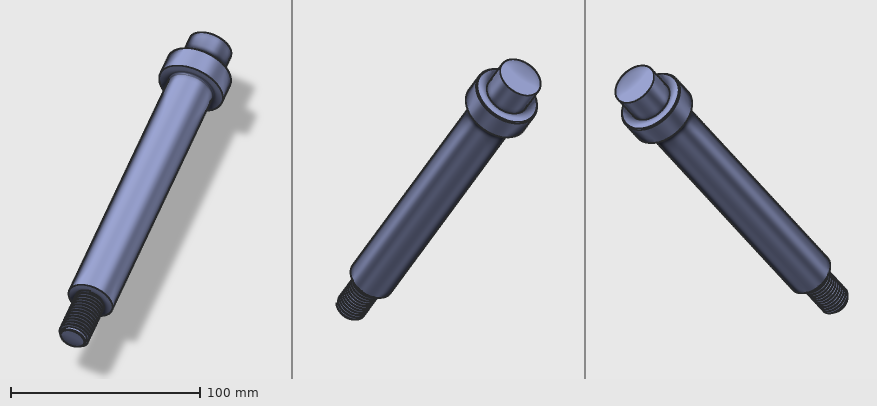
import cadquery as cq
import math

overall_length = 206.0
stub_length = 16.0
collar_length = 13.0
stud_length = 27.0
shaft_length = overall_length - stub_length - collar_length - stud_length

stub_diameter = 23.9
collar_diameter = 36.0
shaft_diameter = 25.0
stud_core_diameter = 14.0
collar_fillet = 1.0
collar_chamfer = 0.6
stud_chamfer = 0.5

thread_diameter = 16.5
thread_pitch = 2.0
thread_turns = 12.75
thread_flank_angle = 30.0
crest_width = thread_pitch / 8
root_embed = 0.2

stub_end = overall_length / 2
collar_back = stub_end - stub_length
collar_front = collar_back - collar_length
shoulder = collar_front - shaft_length
stud_end = -overall_length / 2


def cylinder_along_y(diameter, start, end):
    """Solid cylinder on the Y axis running in -Y from start to end."""
    return (
        cq.Workplane("XZ", origin=(0, start, 0))
        .circle(diameter / 2)
        .extrude(start - end)
    )


def make_shaft():
    """Turned shaft: rear stub, collar, long shank and chamfered stud core."""
    stub = cylinder_along_y(stub_diameter, stub_end, collar_back)
    collar = cylinder_along_y(collar_diameter, collar_back, collar_front)
    collar = collar.faces(">Y").edges().chamfer(collar_chamfer)
    shank = cylinder_along_y(shaft_diameter, collar_front, shoulder)
    stud_core = cylinder_along_y(stud_core_diameter, shoulder, stud_end)
    stud_core = stud_core.faces("<Y").edges().chamfer(stud_chamfer)
    shaft = stub.union(collar).union(shank)
    collar_front_circles = cq.selectors.BoxSelector(
        (-shaft_diameter, collar_front - collar_fillet, -shaft_diameter),
        (shaft_diameter, collar_front + collar_fillet, shaft_diameter),
        boundingbox=False,
    )
    shaft = shaft.edges(collar_front_circles).edges(cq.selectors.RadiusNthSelector(0)).fillet(collar_fillet)
    return shaft.union(stud_core)


def make_thread(shaft):
    """Right-hand helical ridge that fits round the stud core without overlapping it."""
    crest_radius = thread_diameter / 2
    root_radius = stud_core_diameter / 2 - root_embed
    crest_half = crest_width / 2
    root_half = crest_half + (crest_radius - root_radius) * math.tan(math.radians(thread_flank_angle))

    helix = cq.Wire.makeHelix(thread_pitch, thread_pitch * thread_turns, root_radius)
    ridge = (
        cq.Workplane("XZ")
        .polyline([
            (root_radius, -root_half),
            (crest_radius, -crest_half),
            (crest_radius, crest_half),
            (root_radius, root_half),
        ])
        .close()
        .sweep(cq.Workplane(obj=helix), isFrenet=True)
    )
    ridge = (
        ridge.rotate((0, 0, 0), (0, 0, 1), 90)
        .rotate((0, 0, 0), (1, 0, 0), 90)
        .translate((0, shoulder, 0))
    )
    return ridge.cut(shaft)


shaft = make_shaft()
thread = make_thread(shaft)

result = cq.Compound.makeCompound([shaft.solids().val(), thread.solids().val()])